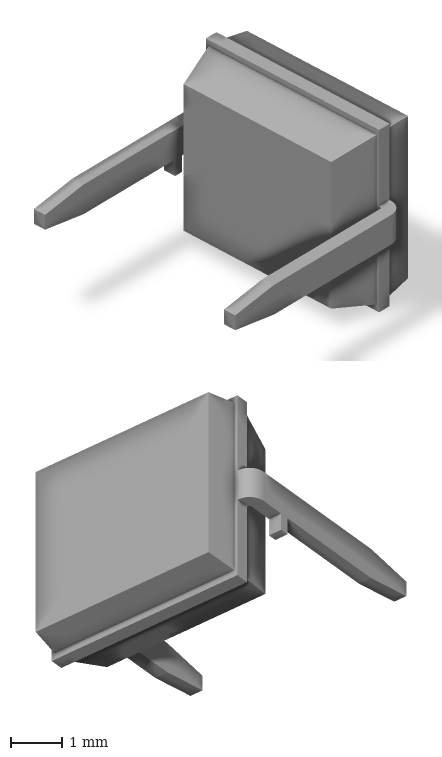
import cadquery as cq

SPAN_X = 5.4
LENGTH_Y = 5.5

FLANGE_X = 4.65
FLANGE_Z = 4.3
SHEET = 0.3
BLOCK_X = 4.5
BLOCK_Z = 4.0
REAR_DEPTH = 0.7
REAR_INSET = 0.09
FRONT_DEPTH = 1.0
FRONT_INSET = 0.27

LEAD_WIDTH = 0.7
TIP_WIDTH = LEAD_WIDTH / 2
TAPER_LENGTH = 1.1
INNER_RADIUS = 0.05
OUTER_RADIUS = INNER_RADIUS + SHEET
TIP_Y = REAR_DEPTH - LENGTH_Y

TAB_LENGTH = 0.2
TAB_DROP = 0.39
TAB_REAR_Y = -0.895


def tapered_block(start_y, end_y, inset):
    """Block that narrows by inset on every side from start_y to end_y."""
    direction = 1 if end_y > start_y else -1
    base_plane = cq.Plane(origin=(0, start_y, 0), xDir=(1, 0, 0), normal=(0, direction, 0))
    return (
        cq.Workplane(base_plane)
        .rect(BLOCK_X, BLOCK_Z)
        .workplane(offset=abs(end_y - start_y))
        .rect(BLOCK_X - 2 * inset, BLOCK_Z - 2 * inset)
        .loft(ruled=True)
    )


def make_housing():
    """Flange with a tapered block on its rear and on its front."""
    flange = cq.Workplane("XY").box(FLANGE_X, SHEET, FLANGE_Z).translate((0, -SHEET / 2, 0))
    rear_block = tapered_block(0, REAR_DEPTH, REAR_INSET)
    front_block = tapered_block(-SHEET, -SHEET - FRONT_DEPTH, FRONT_INSET)
    return flange.union(rear_block).union(front_block)


def make_lead(side, has_tab):
    """Bent lead butting against the flange; side is -1 for -X and 1 for +X."""
    flange_edge = side * FLANGE_X / 2
    outer_x = side * SPAN_X / 2
    inner_x = outer_x - side * SHEET
    bend_x = outer_x - side * OUTER_RADIUS
    bend_center = (bend_x, -OUTER_RADIUS)

    def bend_middle(radius):
        reach = radius * 0.5 ** 0.5
        return (bend_center[0] + side * reach, bend_center[1] + reach)

    strip = (
        cq.Workplane("XY", origin=(0, 0, -LEAD_WIDTH / 2))
        .moveTo(flange_edge, 0)
        .lineTo(bend_x, 0)
        .threePointArc(bend_middle(OUTER_RADIUS), (outer_x, -OUTER_RADIUS))
        .lineTo(outer_x, TIP_Y)
        .lineTo(inner_x, TIP_Y)
        .lineTo(inner_x, -OUTER_RADIUS)
        .threePointArc(bend_middle(INNER_RADIUS), (bend_x, -SHEET))
        .lineTo(flange_edge, -SHEET)
        .close()
        .extrude(LEAD_WIDTH)
    )

    half_width = LEAD_WIDTH / 2
    half_tip = TIP_WIDTH / 2
    taper_y = TIP_Y + TAPER_LENGTH
    outline = (
        cq.Workplane("YZ")
        .polyline([
            (0, half_width),
            (taper_y, half_width),
            (TIP_Y, half_tip),
            (TIP_Y, -half_tip),
            (taper_y, -half_width),
            (0, -half_width),
        ])
        .close()
        .extrude(SPAN_X / 2, both=True)
    )
    lead = strip.intersect(outline)

    if has_tab:
        tab = cq.Workplane("XY").box(SHEET, TAB_LENGTH, TAB_DROP).translate((
            (inner_x + outer_x) / 2,
            TAB_REAR_Y - TAB_LENGTH / 2,
            -half_width - TAB_DROP / 2,
        ))
        lead = lead.union(tab)
    return lead


housing = make_housing()
leads = [make_lead(side, has_tab=(side < 0)) for side in (-1, 1)]

result = cq.Compound.makeCompound([housing.val(), *[lead.val() for lead in leads]])